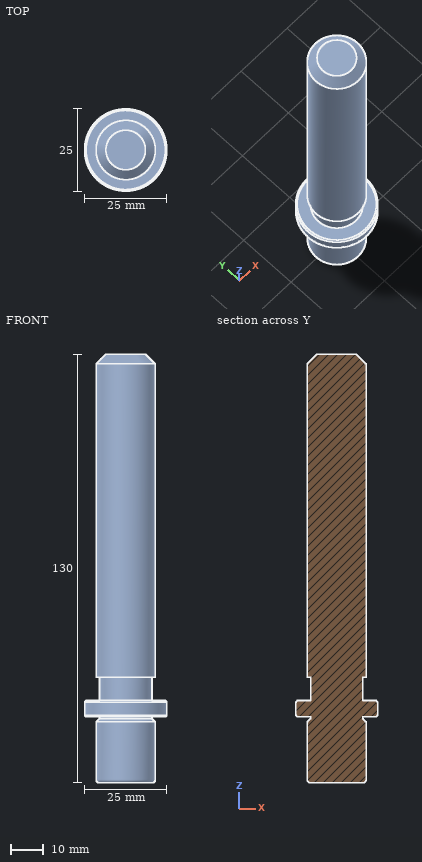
import cadquery as cq
import math

total_length = 130.0
pin_radius = 9.0
tip_chamfer = 3.0
bottom_fillet = 1.0

collar_radius = 12.5
collar_bottom = 20.0
collar_thickness = 5.0
collar_top = collar_bottom + collar_thickness
collar_chamfer = 0.5

neck_radius = 8.0
neck_length = 7.0
neck_top = collar_top + neck_length

undercut_radius = 8.0
undercut_width = 0.5
undercut_bottom = collar_bottom - undercut_width
shank_top = undercut_bottom - (pin_radius - undercut_radius)

fillet_center_radius = pin_radius - bottom_fillet
fillet_mid_offset = bottom_fillet * math.sqrt(0.5)
fillet_mid = (fillet_center_radius + fillet_mid_offset, bottom_fillet - fillet_mid_offset)

half_section = (
    cq.Workplane("XZ")
    .moveTo(0, 0)
    .lineTo(fillet_center_radius, 0)
    .threePointArc(fillet_mid, (pin_radius, bottom_fillet))
    .lineTo(pin_radius, shank_top)
    .lineTo(undercut_radius, undercut_bottom)
    .lineTo(undercut_radius, collar_bottom)
    .lineTo(collar_radius - collar_chamfer, collar_bottom)
    .lineTo(collar_radius, collar_bottom + collar_chamfer)
    .lineTo(collar_radius, collar_top - collar_chamfer)
    .lineTo(collar_radius - collar_chamfer, collar_top)
    .lineTo(neck_radius, collar_top)
    .lineTo(neck_radius, neck_top)
    .lineTo(pin_radius, neck_top)
    .lineTo(pin_radius, total_length - tip_chamfer)
    .lineTo(pin_radius - tip_chamfer, total_length)
    .lineTo(0, total_length)
    .close()
)

result = half_section.revolve(360, (0, 0, 0), (0, 1, 0))